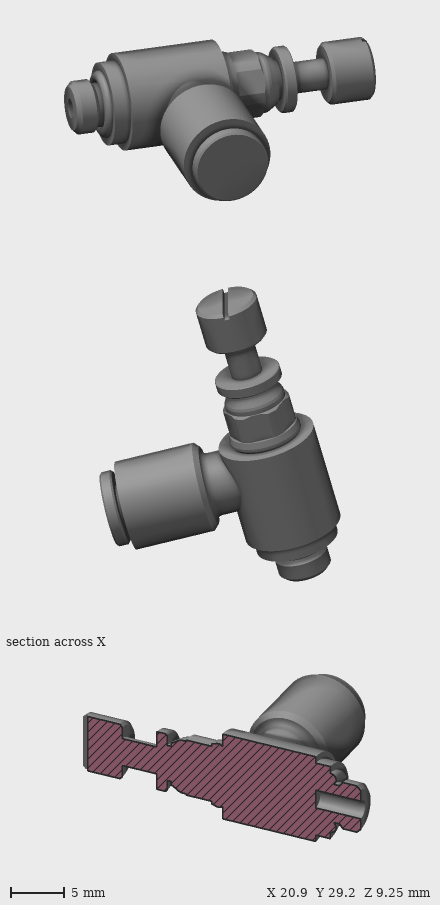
import cadquery as cq


total_length = 29.2
thread_length = 1.87
body_foot_bottom = 3.18
body_bottom = 4.7
body_top = 14.48
collar_top = 15.62
hex_top = 18.3
gland_top = 19.85
stop_disc_bottom = 20.26
stop_disc_top = 21.4
knob_length = 4.25
knob_bottom = total_length - knob_length

thread_radius = 2.55
undercut_radius = 2.1
body_diameter = 9.25
body_radius = body_diameter / 2
body_foot_radius = 3.95
collar_radius = 3.47
gland_radius = 2.9
gland_neck_radius = 1.93
stop_disc_radius = 3.15
stem_radius = 1.5
knob_radius = 2.98

thread_chamfer = thread_radius - undercut_radius
thread_runout = 0.38
bore_radius = 0.93
bore_depth = body_bottom
seal_ring_radius = 2.6
seal_section_radius = 0.6
collar_edge_radius = 3.3
collar_lower_height = 0.25
collar_band_height = 0.25
hex_across_flats = 6.02
hex_corner_radius = 3.2
hex_chamfer = 0.18
gland_top_radius = 2.28
gland_band_height = 0.45
gland_blend_height = 0.25
gland_blend_radius = 2.8
stop_disc_top_chamfer = 0.1
stop_disc_bottom_chamfer = 0.18
knob_chamfer = 0.3
slot_width = 0.53
slot_depth = 0.58

total_width = 20.88
branch_y = 10.95
socket_start = 6.5
socket_end = 14.6
release_ring_start = 15.07
release_ring_end = total_width - body_radius
branch_neck_radius = 3.0
branch_neck_fillet = 0.58
socket_radius = 4.25
socket_chamfer = 0.5
sleeve_radius = 2.1
release_ring_radius = 3.6
release_ring_chamfer = 0.18


def revolve_about_y(profile):
    """Full revolution of a closed half profile about the spindle axis."""
    return profile.revolve(360, (0, 0, 0), (0, 1, 0))


def turned(start, end, radius, start_chamfer=0, end_chamfer=0):
    """Cylinder on the Y axis from start to end, with optional 45 degree edge chamfers."""
    profile = cq.Workplane("XY").moveTo(0, start).lineTo(radius - start_chamfer, start)
    if start_chamfer:
        profile = profile.lineTo(radius, start + start_chamfer)
    if end_chamfer:
        profile = profile.lineTo(radius, end - end_chamfer)
    profile = profile.lineTo(radius - end_chamfer, end).lineTo(0, end).close()
    return revolve_about_y(profile)


def threaded_end():
    """Thread envelope with a tip chamfer and a tapered run-out into the undercut."""
    runout = revolve_about_y(
        cq.Workplane("XY")
        .moveTo(0, thread_length)
        .lineTo(thread_radius, thread_length)
        .lineTo(undercut_radius, thread_length + thread_runout)
        .lineTo(0, thread_length + thread_runout)
        .close()
    )
    thread = turned(0, thread_length, thread_radius, start_chamfer=thread_chamfer)
    undercut = turned(thread_length, body_foot_bottom, undercut_radius)
    return thread.union(runout).union(undercut)


def seal_ring():
    """O-ring half sunk into the underside of the body foot."""
    section = cq.Workplane("XY").center(seal_ring_radius, body_foot_bottom).circle(seal_section_radius)
    return section.revolve(360, (-seal_ring_radius, 0, 0), (-seal_ring_radius, 1, 0))


def collar():
    """Double-tapered snap collar between the body and the hexagon."""
    band_bottom = body_top + collar_lower_height
    band_top = band_bottom + collar_band_height
    return revolve_about_y(
        cq.Workplane("XY")
        .moveTo(0, body_top)
        .lineTo(collar_edge_radius, body_top)
        .lineTo(collar_radius, band_bottom)
        .lineTo(collar_radius, band_top)
        .lineTo(collar_edge_radius, collar_top)
        .lineTo(0, collar_top)
        .close()
    )


def hexagon():
    """Hexagon with flats facing +Z and -Z, its corners turned down to a cylinder."""
    blank = turned(collar_top, hex_top, hex_corner_radius, end_chamfer=hex_chamfer)
    prism = (
        cq.Workplane("XZ", origin=(0, collar_top, 0))
        .transformed(rotate=(0, 0, 90))
        .polygon(6, hex_across_flats, circumscribed=True)
        .extrude(collar_top - hex_top)
    )
    return blank.intersect(prism)


def gland():
    """Tapered nose above the hexagon."""
    band_top = hex_top + gland_band_height
    return revolve_about_y(
        cq.Workplane("XY")
        .moveTo(0, hex_top)
        .lineTo(gland_radius, hex_top)
        .lineTo(gland_radius, band_top)
        .lineTo(gland_blend_radius, band_top + gland_blend_height)
        .lineTo(gland_top_radius, gland_top)
        .lineTo(0, gland_top)
        .close()
    )


def knob():
    """Adjusting knob with a screwdriver slot running along Z across its end."""
    head = turned(knob_bottom, total_length, knob_radius, knob_chamfer, knob_chamfer)
    slot = cq.Workplane("XY").box(slot_width, 2 * slot_depth, 2 * knob_radius)
    return head.cut(slot.translate((0, total_length, 0)))


def branch():
    """Push-in branch, revolved about its own axis along X."""
    fillet_start = socket_start - branch_neck_fillet
    fillet_end_radius = branch_neck_radius + branch_neck_fillet
    ring_edge_radius = release_ring_radius - release_ring_chamfer
    return (
        cq.Workplane("XY", origin=(0, branch_y, 0))
        .lineTo(0, branch_neck_radius)
        .lineTo(fillet_start, branch_neck_radius)
        .radiusArc((socket_start, fillet_end_radius), -branch_neck_fillet)
        .lineTo(socket_start, socket_radius - socket_chamfer)
        .lineTo(socket_start + socket_chamfer, socket_radius)
        .lineTo(socket_end, socket_radius)
        .lineTo(socket_end, sleeve_radius)
        .lineTo(release_ring_start, sleeve_radius)
        .lineTo(release_ring_start, ring_edge_radius)
        .lineTo(release_ring_start + release_ring_chamfer, release_ring_radius)
        .lineTo(release_ring_end - release_ring_chamfer, release_ring_radius)
        .lineTo(release_ring_end, ring_edge_radius)
        .lineTo(release_ring_end, 0)
        .close()
        .revolve(360, (0, 0, 0), (1, 0, 0))
    )


spindle_parts = [
    threaded_end(),
    seal_ring(),
    turned(body_foot_bottom, body_bottom, body_foot_radius),
    collar(),
    hexagon(),
    gland(),
    turned(gland_top, stop_disc_bottom, gland_neck_radius),
    turned(
        stop_disc_bottom,
        stop_disc_top,
        stop_disc_radius,
        stop_disc_bottom_chamfer,
        stop_disc_top_chamfer,
    ),
    turned(stop_disc_top, knob_bottom, stem_radius),
    knob(),
]

result = turned(body_bottom, body_top, body_radius).union(branch())
for spindle_part in spindle_parts:
    result = result.union(spindle_part)
result = result.cut(turned(0, bore_depth, bore_radius))